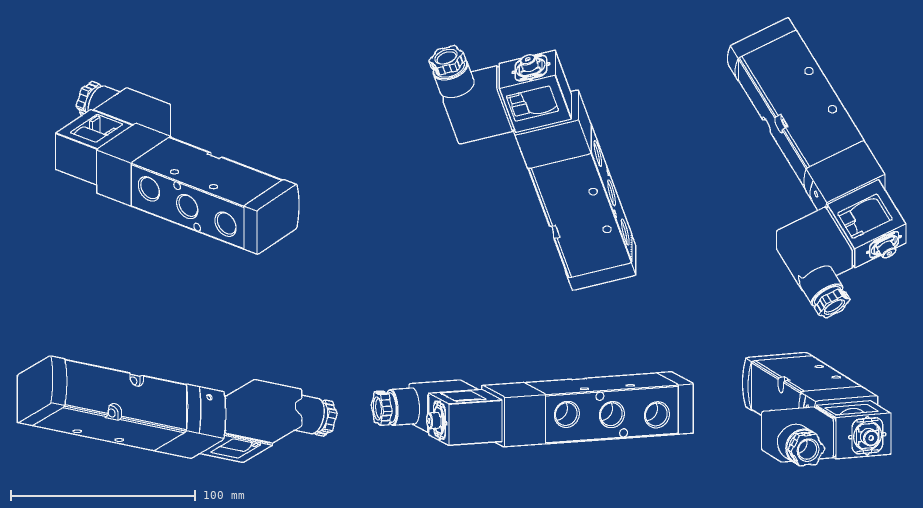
import cadquery as cq
import math

TOTAL_LENGTH = 160.3
NUT_END = 5.0
GLAND_START = 7.9
SOLENOID_START = 20.7
ADAPTER_START = 51.5
RAISED_BACK_END = 67.0
BODY_START = 75.0
CAP_START = 151.5

HEIGHT = 28.0
HALF_HEIGHT = HEIGHT / 2
EDGE_DROP = 0.5
BODY_EDGE_FRONT = 0.3
BODY_ROUNDING_START = 2.4
BODY_BEVEL_START = 34.0
BODY_EDGE_BACK = 35.5
BODY_BACK = 36.0
BODY_LIP_DROP = 1.1
END_FRONT = 0.3
END_ROUNDING_START = 2.9
END_BEVEL_START = 34.5
END_BACK = 36.2
CROWN_BACK = 38.2
LOW_CROWN_BACK = 37.5

PORT_CENTER_X = 113.2
PORT_PITCH = 26.0
PORT_RISE = 2.0
PORT_RADIUS = 6.3
PORT_CHAMFER = 1.0
PORT_DEPTH = 16.0
BOLT_RADIUS = 2.2
CROSS_BOLTS = [(106.3, 10.6), (120.0, -10.6)]
UPRIGHT_BOLT_XS = [99.7, 126.2]
UPRIGHT_BOLT_Y = 6.4
BOLT_HEAD_RADIUS = 4.2
BOLT_HEAD_FLOOR = 32.4

OVERRIDE_X = 61.4
OVERRIDE_Z = 8.0
OVERRIDE_RADIUS = 1.6
OVERRIDE_DEPTH = 1.6

FRAME_FRONT = 4.2
FRAME_BACK = 35.9
FRAME_HALF_HEIGHT = 11.5
FRAME_CHAMFER = 0.3
WINDOW_START = 26.6
WINDOW_END = 44.3
WINDOW_FRONT = 9.3
WINDOW_BACK = 33.8
WINDOW_CORNER = 1.0

COIL_AXIS_Y = 18.0
COIL_RADIUS = 10.0
COIL_FLAT_WIDTH = 3.0
FLANGE_END = 28.7
FLANGE_FRONT = 27.1
FLANGE_HALF_HEIGHT = 10.6
BLOCK_START = 37.8
BLOCK_FRONT = 26.0
BLOCK_HALF_HEIGHT = 6.9
TONGUE_START = 32.4
TONGUE_HALF_HEIGHT = 4.0

STEM_START = 14.3
STEM_RADIUS = 4.3
STEM_CHAMFER = 0.5
STEM_HOLE_RADIUS = 1.3
STEM_HOLE_DEPTH = 1.3
CLIP_THICKNESS = 0.5
CLIP_WIDTH = 17.8
CLIP_HEIGHT = 19.2
CLIP_CORNER_RADIUS = 4.6
CLIP_RING_RADIUS = 8.0
CLIP_RING_THICKNESS = 0.2
CLIP_EAR_RADIUS = 1.0
CLIP_EAR_THICKNESS = 0.3
CLIP_PAD_WIDTH = 3.8
CLIP_PAD_HEIGHT = 1.3
CLIP_PAD_Y = 4.2
CLIP_PAD_Z = 8.8
CLIP_PAD_RISE = 0.2
SIDE_EAR_OFFSET = 9.8
END_EAR_OFFSET = 9.6
CROSS_PLATE_WIDTH = 12.8
CROSS_PLATE_HEIGHT = 13.5
CROSS_PLATE_CORNER = 2.9
CROSS_PLATE_THICKNESS = 0.5
TAB_WIDTH = 10.6
TAB_OUTER_Z = 5.6
TAB_INNER_Z = 2.7
TAB_RISE = 0.5

PLUG_FRONT = 37.4
PLUG_BACK = 68.0
PLUG_HALF_HEIGHT = 11.0
PLUG_FILLET = 1.5
NECK_INSET = 0.3
NECK_CORNER = 2.2

GLAND_AXIS_Y = 59.8
GLAND_RADIUS = 9.8
GLAND_CHAMFER = 0.5
GLAND_NECK_RADIUS = 8.0
GLAND_TAPER_LENGTH = 4.6
GLAND_TAPER_END_RADIUS = 8.3
NUT_FLATS = 17.0
NUT_SIDES = 6
NUT_GROOVE_WIDTH = 3.7
NUT_GROOVE_DEPTH = 0.5
CABLE_BORE_RADIUS = 5.3
CABLE_BORE_CHAMFER = 1.0
CABLE_BORE_DEPTH = 16.0


def span_box(x0, x1, y0, y1, half_height):
    """Box between two X and two Y limits, centred on Z = 0."""
    return (
        cq.Workplane("XY", origin=((x0 + x1) / 2, (y0 + y1) / 2, 0))
        .box(x1 - x0, y1 - y0, 2 * half_height)
    )


def x_plane(x, y=0.0):
    """Plane facing +X, with its local axes along Y and Z."""
    return cq.Workplane("YZ", origin=(x, y, 0))


def rear_plane(y):
    """Plane facing -Y, with its local axes along X and Z."""
    return cq.Workplane("XZ", origin=(0, y, 0))


def arc_radius(half_chord, sagitta):
    """Radius of an arc from half of its chord and its height."""
    return (half_chord**2 + sagitta**2) / (2 * sagitta)


def valve_section(x, front, rounding_start, bevel_start, back):
    """Closed valve outline with eased front edges, bevelled back edges and a flat back."""
    rounding_width = rounding_start - front
    radius = arc_radius(rounding_width, EDGE_DROP)
    edge_z = HALF_HEIGHT - EDGE_DROP
    return (
        x_plane(x)
        .moveTo(rounding_start, -HALF_HEIGHT)
        .lineTo(bevel_start, -HALF_HEIGHT)
        .lineTo(back, -edge_z)
        .lineTo(back, edge_z)
        .lineTo(bevel_start, HALF_HEIGHT)
        .lineTo(rounding_start, HALF_HEIGHT)
        .radiusArc((front, edge_z), -radius)
        .lineTo(front, -edge_z)
        .radiusArc((rounding_start, -HALF_HEIGHT), -radius)
        .close()
    )


def bowed_back(x, crown):
    """Outline of the shallow bow added to the back of the pilot adapter and the end cap."""
    edge_z = HALF_HEIGHT - EDGE_DROP
    return x_plane(x).moveTo(END_BACK, -edge_z).threePointArc((crown, 0), (END_BACK, edge_z)).close()


def end_piece(x0, x1, crown):
    """Length of the section shared by the pilot adapter and the end cap."""
    length = x1 - x0
    block = valve_section(x0, END_FRONT, END_ROUNDING_START, END_BEVEL_START, END_BACK).extrude(length)
    return block.union(bowed_back(x0, crown).extrude(length))


def make_end_cap():
    return end_piece(CAP_START, TOTAL_LENGTH, CROWN_BACK)


def make_pilot_adapter():
    adapter = end_piece(ADAPTER_START, RAISED_BACK_END, CROWN_BACK)
    adapter = adapter.union(end_piece(RAISED_BACK_END, BODY_START, LOW_CROWN_BACK))
    override_hole = (
        rear_plane(CROWN_BACK)
        .center(OVERRIDE_X, OVERRIDE_Z)
        .circle(OVERRIDE_RADIUS)
        .extrude(OVERRIDE_DEPTH + CROWN_BACK - LOW_CROWN_BACK)
    )
    return adapter.cut(override_hole)


def port_cutter(x, z):
    """Blind threaded-port bore with a chamfered mouth, entering from the front."""
    bore = cq.Solid.makeCylinder(PORT_RADIUS, PORT_DEPTH, cq.Vector(x, 0, z), cq.Vector(0, 1, 0))
    mouth = cq.Solid.makeCone(
        PORT_RADIUS + PORT_CHAMFER, PORT_RADIUS, PORT_CHAMFER, cq.Vector(x, 0, z), cq.Vector(0, 1, 0)
    )
    return bore.fuse(mouth)


def bolt_head_slot(x, z):
    """Round-bottomed bolt-head recess in the back, open to the nearer of the top and bottom faces."""
    depth = BODY_BACK - BOLT_HEAD_FLOOR
    outward = math.copysign(1.0, z)
    round_end = rear_plane(BODY_BACK).center(x, z).circle(BOLT_HEAD_RADIUS).extrude(depth)
    opening = (
        rear_plane(BODY_BACK)
        .center(x, z + outward * BOLT_HEAD_RADIUS / 2)
        .rect(2 * BOLT_HEAD_RADIUS, BOLT_HEAD_RADIUS)
        .extrude(depth)
    )
    return round_end.union(opening)


def body_bar():
    """Plain bar of the valve body, with narrower bevelled lips standing out at front and back."""
    length = CAP_START - BODY_START
    edge_z = HALF_HEIGHT - EDGE_DROP
    lip_z = HALF_HEIGHT - BODY_LIP_DROP
    core = valve_section(
        BODY_START, BODY_EDGE_FRONT, BODY_ROUNDING_START, BODY_BEVEL_START, BODY_EDGE_BACK
    ).extrude(length)
    lips = (
        x_plane(BODY_START)
        .moveTo(0, -lip_z)
        .lineTo(BODY_EDGE_FRONT, -edge_z)
        .lineTo(BODY_EDGE_BACK, -edge_z)
        .lineTo(BODY_BACK, -lip_z)
        .lineTo(BODY_BACK, lip_z)
        .lineTo(BODY_EDGE_BACK, edge_z)
        .lineTo(BODY_EDGE_FRONT, edge_z)
        .lineTo(0, lip_z)
        .close()
        .extrude(length)
    )
    return core.union(lips)


def make_valve_body():
    body = body_bar()
    for step in (-1, 0, 1):
        body = body.cut(cq.Workplane(port_cutter(PORT_CENTER_X + step * PORT_PITCH, -step * PORT_RISE)))
    cross_holes = rear_plane(BODY_BACK).pushPoints(CROSS_BOLTS).circle(BOLT_RADIUS).extrude(BODY_BACK)
    body = body.cut(cross_holes)
    for x, z in CROSS_BOLTS:
        body = body.cut(bolt_head_slot(x, z))
    upright_holes = (
        cq.Workplane("XY")
        .pushPoints([(x, UPRIGHT_BOLT_Y) for x in UPRIGHT_BOLT_XS])
        .circle(BOLT_RADIUS)
        .extrude(HALF_HEIGHT, both=True)
    )
    return body.cut(upright_holes)


def make_frame():
    """Coil frame with a window passing through from top to bottom."""
    frame = span_box(SOLENOID_START, ADAPTER_START, FRAME_FRONT, FRAME_BACK, FRAME_HALF_HEIGHT)
    frame = frame.faces("<Y").edges("|X").chamfer(FRAME_CHAMFER)
    window = span_box(WINDOW_START, WINDOW_END, WINDOW_FRONT, WINDOW_BACK, FRAME_HALF_HEIGHT)
    return frame.cut(window.edges("|Z").fillet(WINDOW_CORNER))


def make_coil_former():
    """Flat-topped coil with a flange, a contact block and a round-edged tongue behind it."""
    coil = x_plane(WINDOW_START, COIL_AXIS_Y).circle(COIL_RADIUS).extrude(WINDOW_END - WINDOW_START)
    flat_height = math.sqrt(COIL_RADIUS**2 - (COIL_FLAT_WIDTH / 2) ** 2)
    flats = span_box(
        WINDOW_START, WINDOW_END, COIL_AXIS_Y - COIL_RADIUS, COIL_AXIS_Y + COIL_RADIUS, flat_height
    )
    flange = span_box(WINDOW_START, FLANGE_END, FLANGE_FRONT, WINDOW_BACK, FLANGE_HALF_HEIGHT)
    block = span_box(BLOCK_START, WINDOW_END, BLOCK_FRONT, WINDOW_BACK, BLOCK_HALF_HEIGHT)
    tongue_center_x = TONGUE_START + TONGUE_HALF_HEIGHT
    tongue = span_box(tongue_center_x, BLOCK_START, COIL_AXIS_Y, WINDOW_BACK, TONGUE_HALF_HEIGHT)
    tongue_edge = (
        rear_plane(WINDOW_BACK)
        .center(tongue_center_x, 0)
        .circle(TONGUE_HALF_HEIGHT)
        .extrude(WINDOW_BACK - COIL_AXIS_Y)
    )
    return coil.intersect(flats).union(flange).union(block).union(tongue).union(tongue_edge)


def make_clip():
    """Push-on clip: eared plate with pads, ring, raised cross plate and two sloping tabs at the stem."""
    face = SOLENOID_START - CLIP_THICKNESS
    raised_face = face - CROSS_PLATE_THICKNESS
    clip = x_plane(face, COIL_AXIS_Y).rect(CLIP_WIDTH, CLIP_HEIGHT).extrude(CLIP_THICKNESS)
    clip = clip.edges("|X").fillet(CLIP_CORNER_RADIUS)
    ear_points = [(SIDE_EAR_OFFSET, 0), (-SIDE_EAR_OFFSET, 0), (0, END_EAR_OFFSET), (0, -END_EAR_OFFSET)]
    ears = (
        x_plane(SOLENOID_START - CLIP_EAR_THICKNESS, COIL_AXIS_Y)
        .pushPoints(ear_points)
        .circle(CLIP_EAR_RADIUS)
        .extrude(CLIP_EAR_THICKNESS)
    )
    pad_height = CLIP_THICKNESS + CLIP_PAD_RISE
    pads = (
        x_plane(SOLENOID_START - pad_height, COIL_AXIS_Y)
        .rect(2 * CLIP_PAD_Y, 2 * CLIP_PAD_Z, forConstruction=True)
        .vertices()
        .rect(CLIP_PAD_WIDTH, CLIP_PAD_HEIGHT)
        .extrude(pad_height)
    )
    ring_face = face - CLIP_RING_THICKNESS
    ring = x_plane(ring_face, COIL_AXIS_Y).circle(CLIP_RING_RADIUS).extrude(CLIP_RING_THICKNESS)
    raised = (
        x_plane(raised_face, COIL_AXIS_Y)
        .rect(CROSS_PLATE_WIDTH, CROSS_PLATE_HEIGHT)
        .extrude(CROSS_PLATE_THICKNESS)
        .edges("|X")
        .chamfer(CROSS_PLATE_CORNER)
    )
    tab_side = [
        (face, TAB_OUTER_Z),
        (raised_face, TAB_OUTER_Z),
        (raised_face - TAB_RISE, TAB_INNER_Z),
        (face, TAB_INNER_Z),
    ]
    upper_tab = (
        cq.Workplane("XZ", origin=(0, COIL_AXIS_Y, 0)).polyline(tab_side).close()
        .extrude(TAB_WIDTH / 2, both=True)
    )
    clip = clip.union(ears).union(pads).union(ring).union(raised)
    return clip.union(upper_tab).union(upper_tab.mirror("XY"))


def make_stem():
    stem = x_plane(STEM_START, COIL_AXIS_Y).circle(STEM_RADIUS).extrude(SOLENOID_START - STEM_START)
    stem = stem.faces("<X").chamfer(STEM_CHAMFER)
    hole = x_plane(STEM_START, COIL_AXIS_Y).circle(STEM_HOLE_RADIUS).extrude(STEM_HOLE_DEPTH)
    return stem.cut(hole)


def make_plug():
    """Rounded plug block standing on a slightly smaller neck."""
    plug = span_box(SOLENOID_START, ADAPTER_START, PLUG_FRONT, PLUG_BACK, PLUG_HALF_HEIGHT)
    plug = plug.edges("|Y or >Y").fillet(PLUG_FILLET)
    neck_half_height = PLUG_HALF_HEIGHT - NECK_INSET
    neck = span_box(
        SOLENOID_START + NECK_INSET, ADAPTER_START - NECK_INSET, FRAME_BACK, PLUG_FRONT, neck_half_height
    )
    return plug.union(neck.edges("|Y").fillet(NECK_CORNER))


def make_gland():
    """Cable gland barrel, tapered root, neck and grooved hexagon nut."""
    barrel = x_plane(GLAND_START, GLAND_AXIS_Y).circle(GLAND_RADIUS).extrude(SOLENOID_START - GLAND_START)
    barrel = barrel.faces("<X").chamfer(GLAND_CHAMFER)
    taper = cq.Solid.makeCone(
        GLAND_RADIUS,
        GLAND_TAPER_END_RADIUS,
        GLAND_TAPER_LENGTH,
        cq.Vector(SOLENOID_START, GLAND_AXIS_Y, 0),
        cq.Vector(1, 0, 0),
    )
    neck = x_plane(NUT_END, GLAND_AXIS_Y).circle(GLAND_NECK_RADIUS).extrude(GLAND_START - NUT_END)
    return barrel.union(cq.Workplane(taper)).union(neck).union(make_nut())


def make_nut():
    """Hexagon nut with corners toward +Y and -Y and a shallow groove along each flat."""
    corner_diameter = NUT_FLATS / math.cos(math.pi / NUT_SIDES)
    nut = x_plane(0, GLAND_AXIS_Y).polygon(NUT_SIDES, corner_diameter).extrude(NUT_END)
    for side in range(NUT_SIDES):
        groove = (
            x_plane(0, GLAND_AXIS_Y)
            .transformed(rotate=(0, 0, side * 360 / NUT_SIDES))
            .center(0, NUT_FLATS / 2)
            .rect(NUT_GROOVE_WIDTH, 2 * NUT_GROOVE_DEPTH)
            .extrude(NUT_END)
        )
        nut = nut.cut(groove)
    return nut


def cable_bore():
    """Blind cable entry with a chamfered mouth."""
    start = cq.Vector(0, GLAND_AXIS_Y, 0)
    inward = cq.Vector(1, 0, 0)
    mouth_radius = CABLE_BORE_RADIUS + CABLE_BORE_CHAMFER
    bore = cq.Solid.makeCylinder(CABLE_BORE_RADIUS, CABLE_BORE_DEPTH, start, inward)
    mouth = cq.Solid.makeCone(mouth_radius, CABLE_BORE_RADIUS, CABLE_BORE_CHAMFER, start, inward)
    return cq.Workplane(bore.fuse(mouth))


def make_solenoid():
    solenoid = make_frame().union(make_coil_former()).union(make_clip()).union(make_stem())
    return solenoid.union(make_plug()).union(make_gland()).cut(cable_bore())


end_cap = make_end_cap()
pilot_adapter = make_pilot_adapter()
valve_body = make_valve_body()
solenoid = make_solenoid()

result = cq.Compound.makeCompound(
    [body.solids().val() for body in (end_cap, pilot_adapter, valve_body, solenoid)]
)